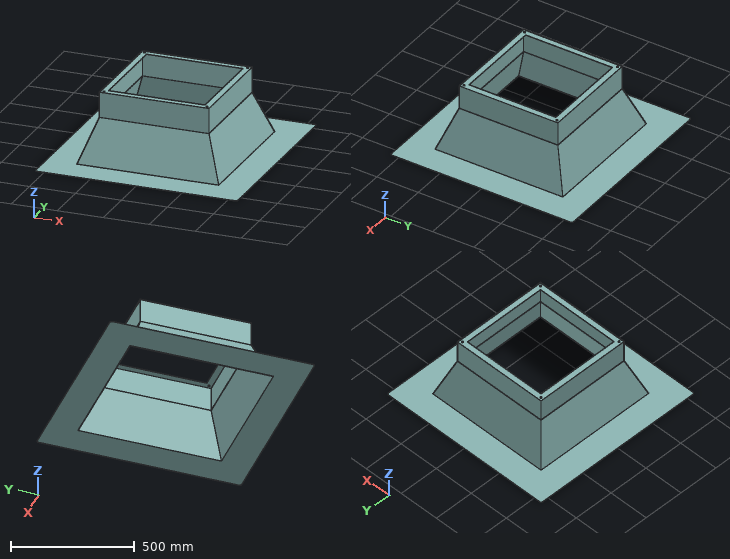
import cadquery as cq

base_side = 880.0
total_height = 300.0
sheet = 2.0

corner_radius = 10.0

skirt_side = 619.5
collar_side = 479.0
collar_height = 111.0
bend_height = total_height - collar_height

opening_side = 419.0
hole_diameter = 8.0
hole_spacing = 449.0


def square_block(side, bottom, top):
    """Upright square block centred on the Z axis."""
    return cq.Workplane("XY").workplane(offset=bottom).rect(side, side).extrude(top - bottom)


def square_frustum(bottom_side, top_side, height):
    """Square frustum standing on the XY plane."""
    return (
        cq.Workplane("XY")
        .rect(bottom_side, bottom_side)
        .workplane(offset=height)
        .rect(top_side, top_side)
        .loft(ruled=True, combine=True)
    )


base = square_block(base_side, 0, sheet).edges("|Z").fillet(corner_radius)
skirt = square_frustum(skirt_side, collar_side, bend_height)
collar = square_block(collar_side, bend_height, total_height)
body = base.union(skirt).union(collar)

skirt_cavity = square_frustum(skirt_side - 2 * sheet, collar_side - 2 * sheet, bend_height)
collar_cavity = square_block(collar_side - 2 * sheet, bend_height, total_height - sheet)
body = body.cut(skirt_cavity).cut(collar_cavity)

body = body.cut(square_block(opening_side, bend_height, total_height))

holes = (
    cq.Workplane("XY")
    .workplane(offset=total_height - sheet)
    .rect(hole_spacing, hole_spacing, forConstruction=True)
    .vertices()
    .circle(hole_diameter / 2)
    .extrude(sheet)
)
result = body.cut(holes)